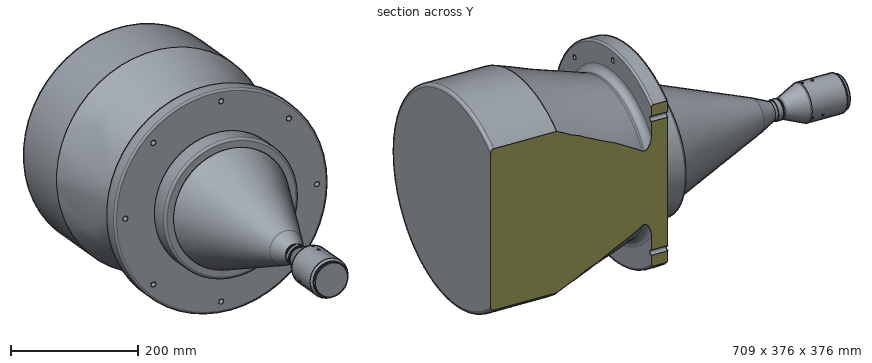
import cadquery as cq
import math


drum_radius = 188.0
drum_end = 120.5
drum_edge_round = 6.0
taper_end = 276.0
taper_end_radius = 137.5
taper_hollow = 1.0

neck_radius = 137.0
neck_end = 280.0

flange_radius = drum_radius
flange_front = 293.0
flange_back = 323.0
flange_edge_round = 3.5
flange_hole_count = 8
flange_hole_diameter = 8.5
flange_hole_circle_radius = 169.0

hub_radius = 118.0
hub_end = 359.5
hub_edge_round = 4.0

cone_start_radius = 102.0
cone_end = 551.5
cone_end_radius = 29.0
waist_radius = 16.0
waist_start = 580.0

collar_radius = 18.0
collar_start = 585.0
collar_end = 594.0
waist_end = 597.0

flare_start_radius = collar_radius
flare_start = 599.0
flare_end = 634.5
tip_radius = 33.0
tip_step = 1.0
tip_start = 636.5
tip_shoulder = 700.0
total_length = 709.0
end_ring_radius = 30.0
tip_chamfer = tip_radius - end_ring_radius
end_edge_chamfer = 1.5

screw_hole_count = 3
screw_hole_diameter = 4.0
screw_hole_depth = 4.0
screw_hole_tilt = 5.0
screw_hole_stations = [639.0, 658.0]


def turned_body():
    """Revolve the half outline (X along the axis, Y as radius) about the X axis."""
    arc_middle = math.sin(math.radians(45))
    taper_middle = (
        (drum_end + taper_end) / 2,
        (drum_radius + taper_end_radius) / 2 - taper_hollow,
    )
    blend = flange_front - neck_end
    blend_middle = (
        neck_end + blend * arc_middle,
        neck_radius + blend * (1 - arc_middle),
    )
    outline = (
        cq.Workplane("XY")
        .moveTo(0, 0)
        .lineTo(0, drum_radius - drum_edge_round)
        .radiusArc((drum_edge_round, drum_radius), drum_edge_round)
        .lineTo(drum_end, drum_radius)
        .threePointArc(taper_middle, (taper_end, taper_end_radius))
        .lineTo(neck_end, neck_radius)
        .threePointArc(blend_middle, (flange_front, neck_radius + blend))
        .lineTo(flange_front, flange_radius - flange_edge_round)
        .radiusArc((flange_front + flange_edge_round, flange_radius), flange_edge_round)
        .lineTo(flange_back - flange_edge_round, flange_radius)
        .radiusArc((flange_back, flange_radius - flange_edge_round), flange_edge_round)
        .lineTo(flange_back, hub_radius)
        .lineTo(hub_end - hub_edge_round, hub_radius)
        .radiusArc((hub_end, hub_radius - hub_edge_round), hub_edge_round)
        .lineTo(hub_end, cone_start_radius)
        .lineTo(cone_end, cone_end_radius)
        .lineTo(waist_start, waist_radius)
        .lineTo(collar_start, waist_radius)
        .lineTo(collar_start, collar_radius)
        .lineTo(collar_end, collar_radius)
        .lineTo(collar_end, waist_radius)
        .lineTo(waist_end, waist_radius)
        .lineTo(flare_start, flare_start_radius)
        .lineTo(flare_end, tip_radius - tip_step)
        .lineTo(tip_start, tip_radius)
        .lineTo(tip_shoulder, tip_radius)
        .lineTo(tip_shoulder + tip_chamfer, end_ring_radius)
        .lineTo(total_length - end_edge_chamfer, end_ring_radius)
        .lineTo(total_length, end_ring_radius - end_edge_chamfer)
        .lineTo(total_length, 0)
        .close()
    )
    return outline.revolve(360, (0, 0, 0), (1, 0, 0))


def flange_holes():
    """Bolt holes that pass through the flange."""
    return (
        cq.Workplane("YZ", origin=(flange_front, 0, 0))
        .polarArray(flange_hole_circle_radius, 0, 360, flange_hole_count)
        .circle(flange_hole_diameter / 2)
        .extrude(flange_back - flange_front)
    )


def screw_hole(station, angle):
    """Blind radial hole in the tip, turned about X by an angle from +Z."""
    return (
        cq.Workplane("XY", origin=(station, 0, tip_radius - screw_hole_depth))
        .circle(screw_hole_diameter / 2)
        .extrude(2 * screw_hole_depth)
        .rotate((0, 0, 0), (1, 0, 0), angle)
    )


result = turned_body().cut(flange_holes())
for screw in range(screw_hole_count):
    angle = screw * 360 / screw_hole_count - screw_hole_tilt
    for station in screw_hole_stations:
        result = result.cut(screw_hole(station, angle))